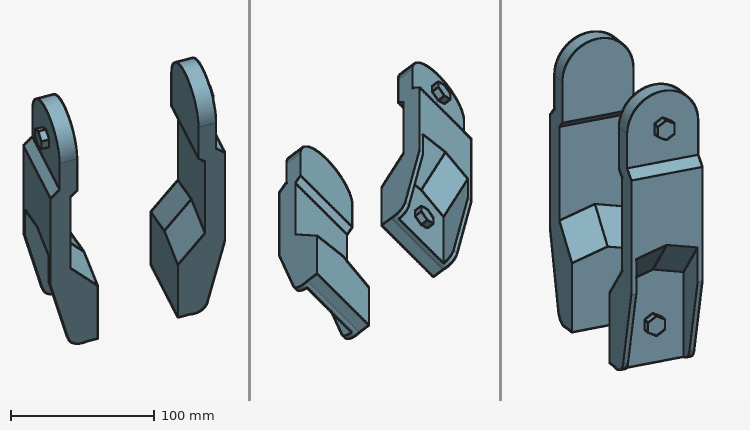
import cadquery as cq
import math


width = 55.3
height = 212.7
half_width = width / 2

arm_inner_out = 50.0
arm_outer_out = 64.98
taper_start_z = 65.5

tongue_inner_out = 45.0
tongue_outer_out = 58.3
tongue_center_z = height - half_width
inner_step_top_z = 153.8
outer_step_top_z = 159.0
inner_step_bottom_z = inner_step_top_z - (arm_inner_out - tongue_inner_out)
outer_step_bottom_z = outer_step_top_z - (arm_outer_out - tongue_outer_out)

jaw_out = 29.8
jaw_base_z = 0.5
roof_top_z = 85.0
roof_slope = 1.217
roof_side_angle = math.radians(15)
roof_bottom_z = roof_top_z - roof_slope * (arm_inner_out - jaw_out)

toe_radius = 10.5
toe_center_out = 41.7
toe_center_z = toe_radius

pocket_half_width = 23.8
pocket_floor_out = 42.5
pocket_top_z = 98.3
pocket_floor_top_z = pocket_top_z - roof_slope * (arm_outer_out - pocket_floor_out)
pocket_below = 2.1

head_corner_diameter = 15.0
head_height = 5.7
lower_head_z = 30.2


def toe_point(angle):
    """Point on the toe circle as (y, z); zero degrees faces outward."""
    out = toe_center_out + toe_radius * math.cos(angle)
    return (-out, toe_center_z + toe_radius * math.sin(angle))


def make_side_body():
    """Arm, tongue and jaw as one side profile extruded across the width."""
    run = arm_outer_out - toe_center_out
    rise = taper_start_z - toe_center_z
    tangent_angle = math.atan2(rise, run) - math.acos(toe_radius / math.hypot(run, rise))
    toe_end_angle = -math.pi / 2 - math.acos((toe_center_z - jaw_base_z) / toe_radius)
    toe_middle_angle = (tangent_angle + toe_end_angle) / 2
    return (
        cq.Workplane("YZ")
        .moveTo(-tongue_inner_out, height)
        .lineTo(-tongue_outer_out, height)
        .lineTo(-tongue_outer_out, outer_step_top_z)
        .lineTo(-arm_outer_out, outer_step_bottom_z)
        .lineTo(-arm_outer_out, taper_start_z)
        .lineTo(*toe_point(tangent_angle))
        .threePointArc(toe_point(toe_middle_angle), toe_point(toe_end_angle))
        .lineTo(-jaw_out, jaw_base_z)
        .lineTo(-jaw_out, roof_bottom_z)
        .lineTo(-arm_inner_out, roof_top_z)
        .lineTo(-arm_inner_out, inner_step_bottom_z)
        .lineTo(-tongue_inner_out, inner_step_top_z)
        .close()
        .extrude(half_width, both=True)
    )


def make_front_outline():
    """Full-depth block with a semicircular top, used to round the tongue."""
    return (
        cq.Workplane("XZ")
        .moveTo(-half_width, 0)
        .lineTo(half_width, 0)
        .lineTo(half_width, tongue_center_z)
        .threePointArc((0, height), (-half_width, tongue_center_z))
        .close()
        .extrude(arm_outer_out)
    )


def loft_between(points_at, near_out, near_z, far_out, far_z):
    """Oblique prism between two outlines whose ridge heights are near_z and far_z."""
    return (
        cq.Workplane("XZ", origin=(0, -near_out, 0))
        .polyline(points_at(near_z))
        .close()
        .workplane(offset=far_out - near_out)
        .polyline(points_at(far_z))
        .close()
        .loft(ruled=True, combine=True)
    )


def make_roof_cutter(side):
    """Wedge above one half of the jaw roof; side is -1 or 1."""
    edge_x = side * half_width
    side_drop = half_width * math.tan(roof_side_angle)

    def wedge_points(ridge_z):
        return [(0, ridge_z), (edge_x, ridge_z), (edge_x, ridge_z - side_drop)]

    return loft_between(wedge_points, jaw_out, roof_bottom_z, arm_inner_out, roof_top_z)


def make_pocket():
    """Peaked pocket whose ceiling runs parallel to the jaw roof."""
    side_drop = pocket_half_width * math.tan(roof_side_angle)

    def pocket_points(ridge_z):
        return [
            (-pocket_half_width, -pocket_below),
            (pocket_half_width, -pocket_below),
            (pocket_half_width, ridge_z - side_drop),
            (0, ridge_z),
            (-pocket_half_width, ridge_z - side_drop),
        ]

    return loft_between(
        pocket_points, pocket_floor_out, pocket_floor_top_z, arm_outer_out, pocket_top_z
    )


def make_bolt_head(face_out, center_z):
    """Hexagonal head standing on a face, with corners pointing up and down."""
    return (
        cq.Workplane("XZ", origin=(0, -face_out, center_z))
        .transformed(rotate=(0, 0, 90))
        .polygon(6, head_corner_diameter)
        .extrude(head_height)
    )


def make_gripper_finger():
    """Finger on the -Y side."""
    finger = make_side_body().intersect(make_front_outline())
    for side in (-1, 1):
        finger = finger.cut(make_roof_cutter(side))
    finger = finger.cut(make_pocket())
    finger = finger.union(make_bolt_head(tongue_outer_out, tongue_center_z))
    return finger.union(make_bolt_head(pocket_floor_out, lower_head_z))


front_finger = make_gripper_finger()
fingers = [front_finger, front_finger.mirror("XZ")]

result = cq.Compound.makeCompound([finger.val() for finger in fingers])